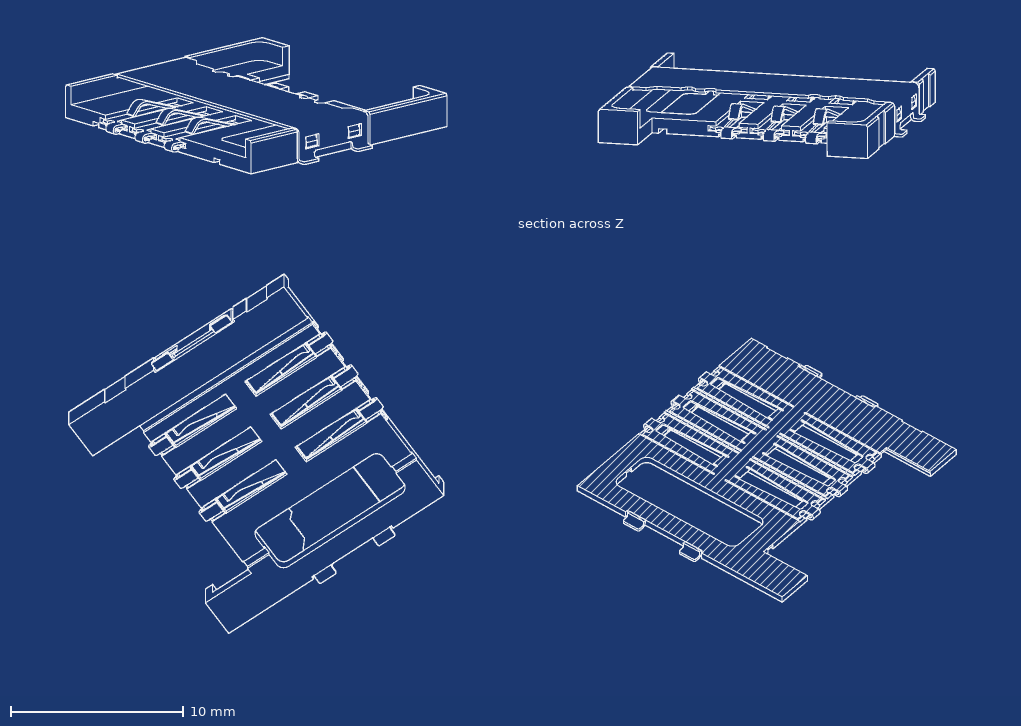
import cadquery as cq
import math


HOUSING_WIDTH = 16.21
HOUSING_HEIGHT = 2.0
HALF_DEPTH = 6.0
ARM_END = 9.27
FLOOR_TOP = 0.89
ARM_INNER_LEFT = -5.66
ARM_INNER_RIGHT = 5.73
EDGE_CHAMFER_WIDTH = 0.09
EDGE_CHAMFER_HEIGHT = 0.14

POCKET_WIDTH = 15.22
POCKET_END = 8.74
POCKET_RADIUS = 0.8

WINDOW_LEFT = 3.59
WINDOW_RIGHT = 6.6
WINDOW_FRONT = -4.53
WINDOW_REAR = 4.46
WINDOW_RADIUS = 0.5
GROOVE_WIDTH = 0.48
GROOVE_DEPTH = 0.27
GROOVE_CENTRES = (-5.44, 5.1)
RELIEF_LENGTH = 1.47
RELIEF_CENTRES = (6.0, -4.05)

STANDOFF = 0.05
SHEET = 0.17
BEND_INNER_RADIUS = 0.14
SHELL_CENTRE_Y = 0.43
SHELL_LENGTH = 5.37
SEAT_GAP = 0.14
SHELL_WIDTH = HOUSING_WIDTH
SHOULDER_OUTER_X = 6.85
SHOULDER_INNER_X = 6.35
SHOULDER_DEPTH = 0.46
NOTCH_DEPTH = 0.35
V_NOTCH_X = 4.45
V_NOTCH_WIDTH = 0.89
V_NOTCH_FLAT = 0.25
ROUND_NOTCH_X = 3.13
ROUND_NOTCH_WIDTH = 0.68
TAB_SPAN = 17.1
TAB_WIDTH = 1.2
TAB_BEND_RADIUS = 0.1
TAB_CORNER_RADIUS = 0.1
APRON_BOTTOM = 0.5
APRON_CHAMFER = 0.12

LATCH_OFFSET_Y = 1.66
LATCH_WINDOW_LENGTH = 1.01
LATCH_WINDOW_BOTTOM = 0.72
LATCH_WINDOW_TOP = 1.44
LATCH_CLEARANCE = 0.09
BUMP_BOTTOM = 0.77
BUMP_RAMP_START = 1.08
BUMP_HEIGHT = 0.14

CONTACT_CENTRE_X = -1.35
CONTACT_PITCH = 2.55
CONTACT_SHEET = 0.15
PLATE_BOTTOM = 0.32
PLATE_TOP = PLATE_BOTTOM + CONTACT_SHEET
PLATE_WIDTH = 2.22
PLATE_FRONT = -5.8
PLATE_REAR = -0.43
LEG_WIDTH = 0.65
CURL_CENTRE_Y = -6.05
EAR_NOTCH_WIDTH = 0.45
EAR_NOTCH_RADIUS = 0.2
EAR_NOTCH_END = -5.54
FRAME_FRONT = -5.4
FRAME_REAR = -0.68
FRAME_FRONT_WIDTH = 0.72
FRAME_REAR_WIDTH = 1.13
FRAME_CORNER_RADIUS = 0.09
FOOT_END = -5.05
SPRING_TOP = 1.5
SPRING_TIP = -4.72
SPRING_TIP_BEND = -4.4
SPRING_ARM_BEND = -3.59
SPRING_ARM_ANGLE = 19.0
SPRING_TIP_ANGLE = 51.0
SPRING_TIP_WIDTH = 0.56
SPRING_ROOT_WIDTH = 0.95

CHANNEL_WIDTH = 1.4
SLOT_WIDTH = 2.36
SLOT_TOP = 0.63
HOLE_FRONT = -5.0
HOLE_WIDTH = FRAME_REAR_WIDTH
MOUTH_CHAMFER = 0.07
FOOT_GROOVE_WIDTH = 1.08
FOOT_GROOVE_CHAMFER_WIDTH = 0.14
FOOT_GROOVE_CHAMFER_TOP = 0.19

SEAT_HALF_WIDTH = SHELL_WIDTH / 2 - SHEET
SHELL_REAR = SHELL_CENTRE_Y + SHELL_LENGTH / 2
SHELL_FRONT = SHELL_CENTRE_Y - SHELL_LENGTH / 2
LATCH_CENTRES = (SHELL_CENTRE_Y + LATCH_OFFSET_Y, SHELL_CENTRE_Y - LATCH_OFFSET_Y)
CONTACT_XS = [CONTACT_CENTRE_X + i * CONTACT_PITCH for i in (-1, 0, 1)]


def block(x0, x1, y0, y1, z0, z1):
    """Box between two opposite corners."""
    return cq.Workplane("XY").box(x1 - x0, y1 - y0, z1 - z0, centered=False).translate((x0, y0, z0))


def side_profile(points, width):
    """Outline of (y, z) points extruded along X, centred on X = 0."""
    return cq.Workplane("YZ").polyline(points).close().extrude(width / 2, both=True)


def at_both_sides(left_part):
    """A part of the -X side together with its mirror image on the +X side."""
    return left_part.union(left_part.mirror("YZ"))


def at_all_contacts(front_part):
    """A front-row shape on X = 0 repeated at the six contact places."""
    pair = front_part.union(front_part.mirror("XZ"))
    row = cq.Workplane("XY")
    for x in CONTACT_XS:
        row = row.union(pair.translate((x, 0, 0)))
    return row


def seat_core(margin_y):
    """Rounded block that fits the inside of the shell, longer than it by a margin at each end."""
    return (
        block(
            -SEAT_HALF_WIDTH, SEAT_HALF_WIDTH,
            SHELL_FRONT - margin_y, SHELL_REAR + margin_y,
            0, HOUSING_HEIGHT - SHEET,
        )
        .edges("|Y and >Z")
        .fillet(BEND_INNER_RADIUS)
    )


def housing_block():
    half = HOUSING_WIDTH / 2
    chamfer_z = HOUSING_HEIGHT - EDGE_CHAMFER_HEIGHT
    top_half = half - EDGE_CHAMFER_WIDTH
    outline = [
        (-half, 0), (half, 0), (half, chamfer_z),
        (top_half, HOUSING_HEIGHT), (-top_half, HOUSING_HEIGHT), (-half, chamfer_z),
    ]
    body = cq.Workplane("XZ").polyline(outline).close().extrude(HALF_DEPTH + ARM_END)
    body = body.translate((0, ARM_END, 0))
    pocket = block(
        -POCKET_WIDTH / 2, POCKET_WIDTH / 2, -HALF_DEPTH, POCKET_END, FLOOR_TOP, HOUSING_HEIGHT
    )
    pocket = pocket.edges("|Z and >Y").fillet(POCKET_RADIUS)
    bay = block(ARM_INNER_LEFT, ARM_INNER_RIGHT, HALF_DEPTH, ARM_END, 0, HOUSING_HEIGHT)
    return body.cut(pocket).cut(bay)


def floor_window():
    window = block(WINDOW_LEFT, WINDOW_RIGHT, WINDOW_FRONT, WINDOW_REAR, 0, FLOOR_TOP)
    return window.edges("|Z").fillet(WINDOW_RADIUS)


def underside_groove(x):
    return block(x - GROOVE_WIDTH / 2, x + GROOVE_WIDTH / 2, -HALF_DEPTH, ARM_END, 0, GROOVE_DEPTH)


def side_relief(y):
    half = HOUSING_WIDTH / 2
    return block(
        -half, -half + EDGE_CHAMFER_WIDTH,
        y - RELIEF_LENGTH / 2, y + RELIEF_LENGTH / 2,
        0, HOUSING_HEIGHT,
    )


def shell_seat():
    """Material taken off the housing to make room for the shell."""
    half = HOUSING_WIDTH / 2
    band = block(
        -half, half, SHELL_FRONT - SEAT_GAP, SHELL_REAR + SEAT_GAP, 0, HOUSING_HEIGHT
    )
    return band.cut(seat_core(SEAT_GAP))


def latch_bump(y):
    """Ramped bump on the -X side of the seat."""
    wall = -SEAT_HALF_WIDTH
    outline = [
        (wall, BUMP_BOTTOM), (wall - BUMP_HEIGHT, BUMP_BOTTOM),
        (wall - BUMP_HEIGHT, BUMP_RAMP_START), (wall, LATCH_WINDOW_TOP),
    ]
    length = LATCH_WINDOW_LENGTH - 2 * LATCH_CLEARANCE
    bump = cq.Workplane("XZ").polyline(outline).close().extrude(length / 2, both=True)
    return bump.translate((0, y, 0))


def contact_recess():
    """Channel, undercut slot, spring hole and foot groove of one front contact."""
    channel = block(
        -CHANNEL_WIDTH / 2, CHANNEL_WIDTH / 2, -HALF_DEPTH, PLATE_REAR, PLATE_BOTTOM, FLOOR_TOP
    )
    slot = block(-SLOT_WIDTH / 2, SLOT_WIDTH / 2, -HALF_DEPTH, PLATE_REAR, PLATE_BOTTOM, SLOT_TOP)
    hole = block(-HOLE_WIDTH / 2, HOLE_WIDTH / 2, HOLE_FRONT, FRAME_REAR, 0, PLATE_BOTTOM)
    mouth = side_profile(
        [
            (-HALF_DEPTH, PLATE_BOTTOM), (PLATE_FRONT, PLATE_BOTTOM),
            (-HALF_DEPTH, PLATE_BOTTOM - MOUTH_CHAMFER),
        ],
        CHANNEL_WIDTH,
    )
    foot_top = CONTACT_SHEET - STANDOFF
    foot_groove = side_profile(
        [
            (-HALF_DEPTH, 0), (FOOT_END, 0), (FOOT_END, foot_top),
            (-HALF_DEPTH + FOOT_GROOVE_CHAMFER_WIDTH, foot_top),
            (-HALF_DEPTH, FOOT_GROOVE_CHAMFER_TOP),
        ],
        FOOT_GROOVE_WIDTH,
    )
    return channel.union(slot).union(hole).union(mouth).union(foot_groove)


def contact_plate():
    """Flat frame with ears and a tapered window around the spring."""
    plate = block(-PLATE_WIDTH / 2, PLATE_WIDTH / 2, PLATE_FRONT, PLATE_REAR, PLATE_BOTTOM, PLATE_TOP)
    window = (
        cq.Workplane("XY")
        .workplane(offset=PLATE_BOTTOM)
        .polyline([
            (-FRAME_FRONT_WIDTH / 2, FRAME_FRONT), (FRAME_FRONT_WIDTH / 2, FRAME_FRONT),
            (FRAME_REAR_WIDTH / 2, FRAME_REAR), (-FRAME_REAR_WIDTH / 2, FRAME_REAR),
        ])
        .close()
        .extrude(CONTACT_SHEET)
        .edges("|Z and <Y")
        .fillet(FRAME_CORNER_RADIUS)
    )
    notch_start = -LEG_WIDTH / 2 - EAR_NOTCH_WIDTH
    ear_notch = block(
        notch_start, -LEG_WIDTH / 2, PLATE_FRONT - EAR_NOTCH_WIDTH, EAR_NOTCH_END,
        PLATE_BOTTOM, PLATE_TOP,
    )
    ear_notch = ear_notch.edges("|Z and >Y").fillet(EAR_NOTCH_RADIUS)
    return plate.cut(window).cut(at_both_sides(ear_notch))


def contact_leg():
    """Leg leaving the plate, curling under and running back as a solder foot."""
    outer_radius = (PLATE_TOP + STANDOFF) / 2
    inner_radius = outer_radius - CONTACT_SHEET
    curl_z = PLATE_TOP - outer_radius
    return (
        cq.Workplane("YZ")
        .moveTo(PLATE_FRONT, PLATE_TOP)
        .lineTo(CURL_CENTRE_Y, PLATE_TOP)
        .threePointArc((CURL_CENTRE_Y - outer_radius, curl_z), (CURL_CENTRE_Y, -STANDOFF))
        .lineTo(FOOT_END, -STANDOFF)
        .lineTo(FOOT_END, CONTACT_SHEET - STANDOFF)
        .lineTo(CURL_CENTRE_Y, CONTACT_SHEET - STANDOFF)
        .threePointArc((CURL_CENTRE_Y - inner_radius, curl_z), (CURL_CENTRE_Y, PLATE_BOTTOM))
        .lineTo(PLATE_FRONT, PLATE_BOTTOM)
        .close()
        .extrude(LEG_WIDTH / 2, both=True)
    )


def contact_spring():
    """Arm rising from the plate, over a rounded crest and down to the tip, tapering towards the tip."""
    arm = math.radians(SPRING_ARM_ANGLE)
    tip = math.radians(SPRING_TIP_ANGLE)
    outer = (SPRING_ARM_BEND - SPRING_TIP_BEND) / (math.sin(arm) + math.sin(tip))
    inner = outer - CONTACT_SHEET
    crest_y = SPRING_ARM_BEND - outer * math.sin(arm)
    crest_z = SPRING_TOP - outer

    def on_crest(radius, angle):
        return (crest_y + radius * math.sin(angle), crest_z + radius * math.cos(angle))

    outer_tip_y, outer_tip_z = on_crest(outer, -tip)
    inner_tip_y, inner_tip_z = on_crest(inner, -tip)
    drop_y = SPRING_TIP_BEND - SPRING_TIP
    drop_z = drop_y * math.tan(tip)
    outer_arm_y, outer_arm_z = on_crest(outer, arm)
    inner_arm_y, inner_arm_z = on_crest(inner, arm)
    top_root_y = outer_arm_y + (outer_arm_z - PLATE_TOP) / math.tan(arm)
    low_root_y = inner_arm_y + (inner_arm_z - PLATE_BOTTOM) / math.tan(arm)
    profile = (
        cq.Workplane("YZ")
        .moveTo(outer_tip_y - drop_y, outer_tip_z - drop_z)
        .lineTo(outer_tip_y, outer_tip_z)
        .threePointArc(on_crest(outer, 0), (outer_arm_y, outer_arm_z))
        .lineTo(top_root_y, PLATE_TOP)
        .lineTo(PLATE_REAR, PLATE_TOP)
        .lineTo(PLATE_REAR, PLATE_BOTTOM)
        .lineTo(low_root_y, PLATE_BOTTOM)
        .lineTo(inner_arm_y, inner_arm_z)
        .threePointArc(on_crest(inner, 0), (inner_tip_y, inner_tip_z))
        .lineTo(inner_tip_y - drop_y, inner_tip_z - drop_z)
        .close()
        .extrude(SPRING_ROOT_WIDTH / 2, both=True)
    )
    taper = (
        cq.Workplane("XY")
        .polyline([
            (-SPRING_TIP_WIDTH / 2, SPRING_TIP), (SPRING_TIP_WIDTH / 2, SPRING_TIP),
            (SPRING_ROOT_WIDTH / 2, FRAME_REAR), (SPRING_ROOT_WIDTH / 2, PLATE_REAR),
            (-SPRING_ROOT_WIDTH / 2, PLATE_REAR), (-SPRING_ROOT_WIDTH / 2, FRAME_REAR),
        ])
        .close()
        .extrude(HOUSING_HEIGHT)
    )
    return profile.intersect(taper)


def contact():
    return contact_plate().union(contact_leg()).union(contact_spring())


def make_housing():
    """Housing with its moulded-in contacts as one solid."""
    body = housing_block().cut(floor_window()).cut(shell_seat())
    for x in GROOVE_CENTRES:
        body = body.cut(underside_groove(x))
    for y in RELIEF_CENTRES:
        body = body.cut(side_relief(y))
    for y in LATCH_CENTRES:
        body = body.union(at_both_sides(latch_bump(y)))
    return body.cut(at_all_contacts(contact_recess())).union(at_all_contacts(contact()))


def shell_sheet():
    """Top plate and two side walls, bent from one sheet."""
    half = SHELL_WIDTH / 2
    wall_bottom = SHEET - STANDOFF + TAB_BEND_RADIUS
    outside = block(-half, half, SHELL_FRONT, SHELL_REAR, wall_bottom, HOUSING_HEIGHT)
    outside = outside.edges("|Y and >Z").fillet(BEND_INNER_RADIUS + SHEET)
    return outside.cut(seat_core(0))


def rear_edge_cut():
    """Stepped-back middle of the rear edge of the top plate."""
    step_y = SHELL_REAR - SHOULDER_DEPTH
    under = HOUSING_HEIGHT - SHEET
    top = cq.Workplane("XY").workplane(offset=under)
    cut = (
        top.polyline([
            (-SHOULDER_OUTER_X, SHELL_REAR), (-SHOULDER_INNER_X, step_y),
            (SHOULDER_INNER_X, step_y), (SHOULDER_OUTER_X, SHELL_REAR),
        ])
        .close()
        .extrude(SHEET)
    )
    v_notch = (
        top.polyline([
            (V_NOTCH_X - V_NOTCH_WIDTH / 2, step_y),
            (V_NOTCH_X - V_NOTCH_FLAT / 2, step_y - NOTCH_DEPTH),
            (V_NOTCH_X + V_NOTCH_FLAT / 2, step_y - NOTCH_DEPTH),
            (V_NOTCH_X + V_NOTCH_WIDTH / 2, step_y),
        ])
        .close()
        .extrude(SHEET)
    )
    round_notch = (
        top.moveTo(ROUND_NOTCH_X - ROUND_NOTCH_WIDTH / 2, step_y)
        .threePointArc(
            (ROUND_NOTCH_X, step_y - NOTCH_DEPTH), (ROUND_NOTCH_X + ROUND_NOTCH_WIDTH / 2, step_y)
        )
        .close()
        .extrude(SHEET)
    )
    return cut.union(at_both_sides(v_notch.union(round_notch)))


def apron_cut():
    """Gap between the solder tabs along the lower edge of both walls."""
    half_gap = SHELL_LENGTH / 2 - TAB_WIDTH
    outline = [
        (SHELL_CENTRE_Y - half_gap, -STANDOFF),
        (SHELL_CENTRE_Y - half_gap, APRON_BOTTOM - APRON_CHAMFER),
        (SHELL_CENTRE_Y - half_gap + APRON_CHAMFER, APRON_BOTTOM),
        (SHELL_CENTRE_Y + half_gap - APRON_CHAMFER, APRON_BOTTOM),
        (SHELL_CENTRE_Y + half_gap, APRON_BOTTOM - APRON_CHAMFER),
        (SHELL_CENTRE_Y + half_gap, -STANDOFF),
    ]
    return side_profile(outline, TAB_SPAN)


def latch_window(y):
    return block(
        -SHELL_WIDTH / 2, SHELL_WIDTH / 2,
        y - LATCH_WINDOW_LENGTH / 2, y + LATCH_WINDOW_LENGTH / 2,
        LATCH_WINDOW_BOTTOM, LATCH_WINDOW_TOP,
    )


def solder_tab(y):
    """Outward-bent tab below the -X wall, centred at the given Y."""
    inner = TAB_BEND_RADIUS
    outer = TAB_BEND_RADIUS + SHEET
    bend_x = -SHELL_WIDTH / 2 - inner
    bend_z = outer - STANDOFF
    diagonal = math.sqrt(0.5)
    tab = (
        cq.Workplane("XZ")
        .moveTo(bend_x + inner, bend_z)
        .threePointArc(
            (bend_x + inner * diagonal, bend_z - inner * diagonal), (bend_x, bend_z - inner)
        )
        .lineTo(-TAB_SPAN / 2, bend_z - inner)
        .lineTo(-TAB_SPAN / 2, bend_z - outer)
        .lineTo(bend_x, bend_z - outer)
        .threePointArc(
            (bend_x + outer * diagonal, bend_z - outer * diagonal), (bend_x + outer, bend_z)
        )
        .close()
        .extrude(TAB_WIDTH / 2, both=True)
    )
    return tab.edges("|Z and <X").fillet(TAB_CORNER_RADIUS).translate((0, y, 0))


def make_shell():
    shell = shell_sheet().cut(rear_edge_cut()).cut(apron_cut())
    for y in LATCH_CENTRES:
        shell = shell.cut(latch_window(y))
    for y in (SHELL_FRONT + TAB_WIDTH / 2, SHELL_REAR - TAB_WIDTH / 2):
        shell = shell.union(at_both_sides(solder_tab(y)))
    return shell


housing = make_housing()
shell = make_shell()
result = cq.Compound.makeCompound([housing.solids().val(), shell.solids().val()])